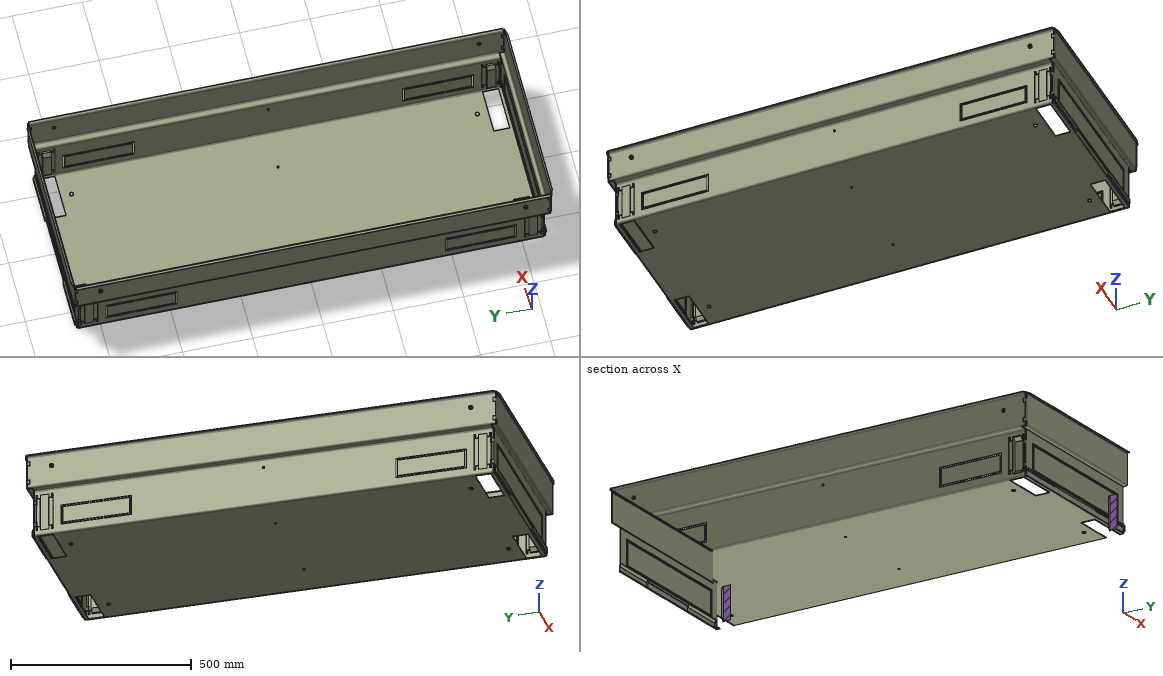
import cadquery as cq

rim_width = 577.0
overall_length = 1368.0
overall_height = 240.0
sheet = 2.0
bend_inner = 1.0
bend_outer = bend_inner + sheet

upper_width = 558.0
lower_width = 515.0
upper_length = 1357.0
lower_length = 1329.0
ledge_bottom = 141.0
ledge_top = ledge_bottom + sheet
rim_bottom = overall_height - sheet

upper_inner_width = upper_width - 2 * sheet
lower_inner_width = lower_width - 2 * sheet
upper_inner_length = upper_length - 2 * sheet
lower_inner_length = lower_length - 2 * sheet

upper_flat_width = upper_width - 2 * bend_outer
lower_flat_width = lower_width - 2 * bend_outer
side_wall_length = upper_length - 2 * bend_outer
lower_wall_length = lower_length - 2 * bend_outer

end_rim_width = 569.0
end_rim_corner_x = 19.0
end_rim_corner_y = 5.0

floor_length = lower_length + 2 * sheet
flange_height = 20.0
pad_inner_x = 107.0
pad_outer_x = 248.0
pad_bottom = 7.0
pad_top = 29.0
pad_depth = 4.0
panel_slot_top = 23.0

opening_inner_x = 118.0
opening_outer_x = 252.0
opening_inner_y = 609.0
opening_outer_y = 654.0
large_hole_diameter = 11.0
large_hole_x = 183.0
large_hole_y = 577.0
small_hole_diameter = 5.0
small_hole_x = 140.0
wall_hole_height = 116.0

knockout_gap = 4.8
bridge_width = 4.0
bridge_position = 0.2
knockout_bottom = 27.0
side_knockout_top = 86.0
side_knockout_inner_y = 382.0
side_knockout_outer_y = 584.0
end_knockout_top = 110.0
end_knockout_length = 443.0

rib_y = 632.0
rib_bottom = 18.0
rib_top = 127.0
rib_width = 25.0
rib_depth = 14.0
rib_foot_depth = 5.0
rib_end_slope = 11.0
groove_outer_width = 49.0
groove_depth = 1.0
groove_end_land_width = 41.0

tab_length = 7.0
tab_height = 12.0
upper_tab_bottoms = (155.0, 212.0)
lower_tab_bottoms = (30.0, 98.0)

nut_y = 605.0
nut_z = 201.0
nut_head_diameter = 11.0
nut_head_height = 4.8
nut_shank_diameter = 8.0
nut_bore_diameter = 5.0

SIDES = (-1, 1)
CORNERS = [(sx, sy) for sx in SIDES for sy in SIDES]


def block(x0, x1, y0, y1, z0, z1):
    """Box between two opposite corners, given in any order along each axis."""
    return (
        cq.Workplane("XY")
        .box(abs(x1 - x0), abs(y1 - y0), abs(z1 - z0))
        .translate(((x0 + x1) / 2, (y0 + y1) / 2, (z0 + z1) / 2))
    )


def slab(width, length, z0, z1):
    """Box centred on the Z axis."""
    return block(-width / 2, width / 2, -length / 2, length / 2, z0, z1)


def x_cylinder(diameter, x0, x1, y, z):
    """Cylinder along X from x0 to x1."""
    return cq.Workplane("YZ", origin=(x0, 0, 0)).center(y, z).circle(diameter / 2).extrude(x1 - x0)


def knockout_ring(start, end, z0, z1, thickness):
    """Ring slot of a knockout in the XZ plane, from x = start to end, interrupted by its bridges."""
    middle = (start + end) / 2
    half_length = (end - start) / 2
    half_thickness = thickness / 2
    ring = block(start, end, -half_thickness, half_thickness, z0, z1).cut(
        block(
            start + knockout_gap, end - knockout_gap,
            -half_thickness, half_thickness,
            z0 + knockout_gap, z1 - knockout_gap,
        )
    )
    for side in SIDES:
        bridge_x = middle + side * bridge_position * half_length
        ring = ring.cut(
            block(
                bridge_x - bridge_width / 2, bridge_x + bridge_width / 2,
                -half_thickness, half_thickness, z0, z1,
            )
        )
    return ring


def tab_rows():
    """Outer width, outer length and tab heights of the upper and lower wall levels."""
    return (
        (upper_width, upper_length, upper_tab_bottoms),
        (lower_width, lower_length, lower_tab_bottoms),
    )


def corner_returns(side_x, side_y):
    """Bent-back strips at one corner, each with two locking tabs flush with the side wall."""
    returns = []
    for width, length, bottoms in tab_rows():
        outer_x = side_x * width / 2
        inner_x = outer_x - side_x * sheet
        center_x = outer_x - side_x * bend_outer
        center_y = side_y * (length / 2 - bend_outer)
        z0 = min(bottoms)
        z1 = max(bottoms) + tab_height
        bend = (
            cq.Workplane("XY", origin=(center_x, center_y, z0))
            .circle(bend_outer)
            .circle(bend_inner)
            .extrude(z1 - z0)
        )
        quarter = block(center_x, outer_x, center_y, center_y + side_y * bend_outer, z0, z1)
        strip = bend.intersect(quarter)
        for bottom in bottoms:
            strip = strip.union(
                block(
                    inner_x, outer_x, center_y, center_y - side_y * tab_length,
                    bottom, bottom + tab_height,
                )
            )
        returns.append(strip)
    return returns


def round_bends(body, bends):
    """Round each bend, given as (edge midpoint, radius)."""
    for midpoint, radius in bends:
        body = body.edges(cq.selectors.NearestToPointSelector(midpoint)).fillet(radius)
    return body


def make_groove(side_x, side_y, offset):
    """Shallow upright grooves on both sides of a rib, moved inward by the offset."""
    outer_x = side_x * (lower_width / 2 - offset)
    inner_x = outer_x - side_x * groove_depth
    center_y = side_y * rib_y

    def centred_block(width, z0, z1):
        return block(inner_x, outer_x, center_y - width / 2, center_y + width / 2, z0, z1)

    grooves = centred_block(groove_outer_width, rib_bottom, rib_top)
    grooves = grooves.cut(centred_block(rib_width, rib_bottom, rib_top))
    for z0 in (rib_bottom, rib_top - rib_end_slope):
        grooves = grooves.cut(centred_block(groove_end_land_width, z0, z0 + rib_end_slope))
    return grooves


def make_rib(side_x, side_y):
    """Upright rib on the inside of the side wall, with a square foot and sloped ends."""
    wall_x = side_x * lower_inner_width / 2
    crest_x = wall_x - side_x * rib_depth
    foot_x = wall_x - side_x * rib_foot_depth
    return (
        cq.Workplane("XZ", origin=(0, side_y * rib_y + rib_width / 2, 0))
        .moveTo(wall_x, rib_bottom)
        .lineTo(foot_x, rib_bottom)
        .lineTo(crest_x, rib_bottom + rib_end_slope)
        .lineTo(crest_x, rib_top - rib_end_slope)
        .lineTo(foot_x, rib_top)
        .lineTo(wall_x, rib_top)
        .close()
        .extrude(rib_width)
    )


def make_folded_section():
    """Floor, lower walls, ledges, upper walls and rims of the long sides, with rounded bends."""
    section = slab(lower_width, side_wall_length, 0, ledge_top)
    section = section.union(slab(upper_width, side_wall_length, ledge_bottom, overall_height))
    section = section.union(slab(rim_width, side_wall_length, rim_bottom, overall_height))
    section = section.cut(slab(lower_inner_width, overall_length, sheet, overall_height))
    section = section.cut(slab(upper_inner_width, overall_length, ledge_top, overall_height))
    bends = []
    for side in SIDES:
        bends += [
            ((side * lower_width / 2, 0, 0), bend_outer),
            ((side * lower_inner_width / 2, 0, sheet), bend_inner),
            ((side * lower_width / 2, 0, ledge_bottom), bend_inner),
            ((side * lower_inner_width / 2, 0, ledge_top), bend_outer),
            ((side * upper_width / 2, 0, ledge_bottom), bend_outer),
            ((side * upper_inner_width / 2, 0, ledge_top), bend_inner),
            ((side * upper_width / 2, 0, rim_bottom), bend_inner),
            ((side * upper_inner_width / 2, 0, overall_height), bend_outer),
        ]
    return round_bends(section, bends)


def make_floor_end(side_y):
    """End strip of the floor with its upright flange and raised pads."""
    face_y = side_y * floor_length / 2
    back_y = face_y - side_y * sheet
    start_y = side_y * lower_wall_length / 2
    half_width = lower_flat_width / 2
    floor_end = block(-half_width, half_width, start_y, face_y, 0, sheet)
    floor_end = floor_end.union(block(-half_width, half_width, back_y, face_y, 0, flange_height))
    floor_end = round_bends(
        floor_end, [((0, face_y, 0), bend_outer), ((0, back_y, sheet), bend_inner)]
    )
    pad_face_y = face_y + side_y * pad_depth
    for side_x in SIDES:
        pad = (
            cq.Workplane("YZ", origin=(side_x * pad_inner_x, 0, 0))
            .moveTo(back_y, pad_bottom)
            .lineTo(pad_face_y, pad_bottom)
            .lineTo(pad_face_y, flange_height)
            .lineTo(face_y, pad_top)
            .lineTo(back_y, pad_top)
            .close()
            .extrude(side_x * (pad_outer_x - pad_inner_x))
        )
        floor_end = floor_end.union(pad)
    return floor_end


def make_trough():
    """Floor, long side walls, side ledges and side rims folded from one sheet."""
    trough = make_folded_section()

    for side in SIDES:
        trough = trough.cut(
            block(
                -upper_flat_width / 2, upper_flat_width / 2,
                side * lower_wall_length / 2, side * overall_length / 2, 0, ledge_top,
            )
        )
        trough = trough.union(make_floor_end(side))

    for sx, sy in CORNERS:
        trough = trough.cut(
            block(
                sx * opening_inner_x, sx * opening_outer_x,
                sy * opening_inner_y, sy * opening_outer_y, 0, sheet,
            )
        )
    large_points = [(sx * large_hole_x, sy * large_hole_y) for sx, sy in CORNERS]
    small_points = [(sx * small_hole_x, 0) for sx in SIDES]
    for diameter, points in ((large_hole_diameter, large_points), (small_hole_diameter, small_points)):
        trough = trough.cut(cq.Workplane("XY").pushPoints(points).circle(diameter / 2).extrude(sheet))

    for sx, sy in CORNERS:
        trough = trough.union(make_groove(sx, sy, sheet))
        trough = trough.cut(make_groove(sx, sy, 0))
        trough = trough.union(make_rib(sx, sy))

    trough = trough.cut(x_cylinder(small_hole_diameter, -upper_width, upper_width, 0, wall_hole_height))
    ring = knockout_ring(
        side_knockout_inner_y, side_knockout_outer_y, knockout_bottom, side_knockout_top, upper_width
    )
    ring = ring.rotate((0, 0, 0), (0, 0, 1), 90)
    for cutter in (ring, ring.mirror("XZ")):
        trough = trough.cut(cutter)
    for sx, sy in CORNERS:
        trough = trough.cut(x_cylinder(nut_shank_diameter, 0, sx * upper_width, sy * nut_y, nut_z))
        for corner_return in corner_returns(sx, sy):
            trough = trough.cut(corner_return)
    return trough


def make_end_rim(side_y):
    """Flat rim of an end panel, with clipped outer corners."""
    half_width = end_rim_width / 2
    inner_y = side_y * upper_inner_length / 2
    edge_y = side_y * overall_length / 2
    clipped_y = edge_y - side_y * end_rim_corner_y
    return (
        cq.Workplane("XY", origin=(0, 0, rim_bottom))
        .moveTo(-upper_flat_width / 2, inner_y)
        .lineTo(upper_flat_width / 2, inner_y)
        .lineTo(upper_flat_width / 2, clipped_y)
        .lineTo(half_width, clipped_y)
        .lineTo(half_width - end_rim_corner_x, edge_y)
        .lineTo(end_rim_corner_x - half_width, edge_y)
        .lineTo(-half_width, clipped_y)
        .lineTo(-upper_flat_width / 2, clipped_y)
        .close()
        .extrude(sheet)
    )


def make_end_panel(side_y):
    """End wall with its ledge, rim, knockout and corner returns, folded from one sheet."""
    upper_y = side_y * upper_length / 2
    upper_inner_y = side_y * upper_inner_length / 2
    lower_y = side_y * lower_length / 2
    lower_inner_y = side_y * lower_inner_length / 2
    half_upper = upper_flat_width / 2
    half_lower = lower_flat_width / 2
    panel = block(-half_lower, half_lower, lower_inner_y, lower_y, bend_outer, ledge_top)
    panel = panel.union(
        block(-half_upper, half_upper, lower_inner_y, upper_y, ledge_bottom, ledge_top)
    )
    panel = panel.union(
        block(-half_upper, half_upper, upper_inner_y, upper_y, ledge_bottom, overall_height)
    )
    panel = panel.union(make_end_rim(side_y))
    panel = round_bends(
        panel,
        [
            ((0, lower_y, ledge_bottom), bend_inner),
            ((0, upper_y, ledge_bottom), bend_outer),
            ((0, upper_inner_y, ledge_top), bend_inner),
            ((0, upper_inner_y, overall_height), bend_outer),
        ],
    )

    ring = knockout_ring(
        -end_knockout_length / 2, end_knockout_length / 2, knockout_bottom, end_knockout_top, 2 * sheet
    )
    panel = panel.cut(ring.translate((0, lower_y, 0)))

    for side_x in SIDES:
        panel = panel.cut(
            block(
                side_x * pad_inner_x, side_x * pad_outer_x,
                lower_inner_y, lower_y, flange_height, panel_slot_top,
            )
        )
        for corner_return in corner_returns(side_x, side_y):
            panel = panel.union(corner_return)
    return panel


def make_rivet_nut(side_x, side_y):
    """Bored nut with its head outside the upper side wall and its shank through the wall."""
    wall_x = side_x * upper_width / 2
    inner_x = wall_x - side_x * sheet
    head_x = wall_x + side_x * nut_head_height
    y = side_y * nut_y
    nut = x_cylinder(nut_head_diameter, wall_x, head_x, y, nut_z)
    nut = nut.union(x_cylinder(nut_shank_diameter, inner_x, wall_x, y, nut_z))
    return nut.cut(x_cylinder(nut_bore_diameter, inner_x, head_x, y, nut_z))


trough = make_trough()
end_panels = [make_end_panel(side_y) for side_y in SIDES]
rivet_nuts = [make_rivet_nut(side_x, side_y) for side_x, side_y in CORNERS]

result = cq.Compound.makeCompound(
    [trough.val(), *[panel.val() for panel in end_panels], *[nut.val() for nut in rivet_nuts]]
)